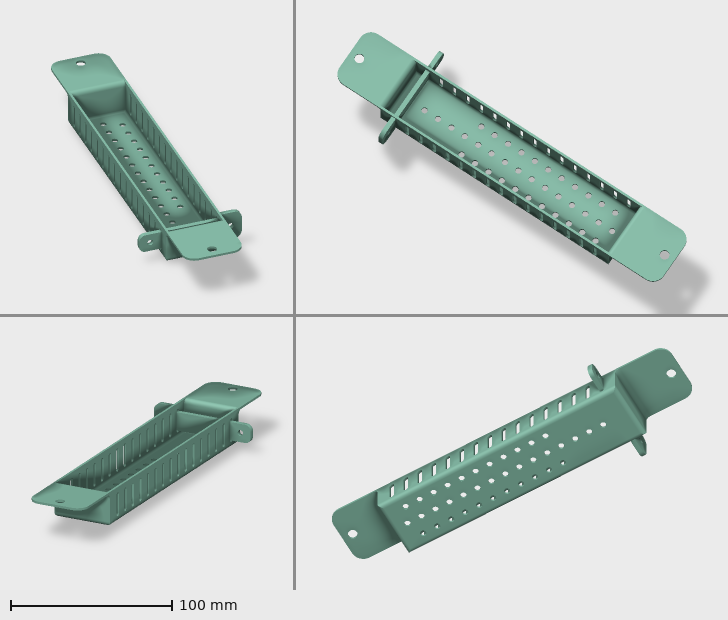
import cadquery as cq

LENGTH = 242.0
WIDTH = 39.0
HEIGHT = 23.0
BOX_LENGTH = 170.0
SHEET = 1.5
BEND_RADIUS = 2 * SHEET
INNER_BEND_RADIUS = SHEET

FLANGE_CORNER_RADIUS = 8.0
FLANGE_HOLE_DIAMETER = 6.0
FLANGE_HOLE_INSET = 7.0

SLOT_COUNT = 16
SLOT_SPAN = 150.0
SLOT_ROW_SHIFT = 0.2
SLOT_PITCH = SLOT_SPAN / (SLOT_COUNT - 1)
SLOT_WIDTH = 2 * SHEET
SLOT_HEIGHT = 15.5

FLOOR_HOLE_DIAMETER = 3.9
MIDDLE_ROW_COUNT = 15
SIDE_ROW_COUNT = 11
SIDE_ROW_OFFSET = 11.0

PLATE_LENGTH = 68.0
PLATE_HEIGHT = 12.0
PLATE_CORNER_RADIUS = 4.0
HEAD_HEIGHT = 19.5
HEAD_CORNER_RADIUS = 5.0
PLATE_HOLE_DIAMETER = 3.9
PLATE_HOLE_INSET = 7.3

INNER_LENGTH = BOX_LENGTH - 2 * SHEET
INNER_WIDTH = WIDTH - 2 * SHEET
MID_HEIGHT = HEIGHT / 2
FIRST_SLOT_X = SLOT_ROW_SHIFT - SLOT_SPAN / 2
LAST_SLOT_X = SLOT_ROW_SHIFT + SLOT_SPAN / 2


def make_flange_plate():
    """Flat plate over the whole length, with rounded corners and an end hole each side."""
    hole_x = LENGTH / 2 - FLANGE_HOLE_INSET
    return (
        cq.Workplane("XY", origin=(0, 0, HEIGHT - SHEET))
        .rect(LENGTH, WIDTH)
        .extrude(SHEET)
        .edges("|Z")
        .fillet(FLANGE_CORNER_RADIUS)
        .faces(">Z")
        .workplane()
        .pushPoints([(-hole_x, 0), (hole_x, 0)])
        .hole(FLANGE_HOLE_DIAMETER)
    )


def make_box_block():
    """Solid block of the box, rounded along its four lower edges."""
    return (
        cq.Workplane("XY")
        .box(BOX_LENGTH, WIDTH, HEIGHT, centered=(True, True, False))
        .faces("<Z")
        .edges()
        .fillet(BEND_RADIUS)
    )


def round_flange_undersides(shell):
    """Round the inner corners where the end walls turn out into the flanges."""
    for x in (-BOX_LENGTH / 2, BOX_LENGTH / 2):
        corner = (x, 0, HEIGHT - SHEET)
        shell = shell.edges(cq.selectors.NearestToPointSelector(corner)).fillet(BEND_RADIUS)
    return shell


def make_pocket():
    """Space inside the box, rounded along the floor."""
    return (
        cq.Workplane("XY", origin=(0, 0, SHEET))
        .box(INNER_LENGTH, INNER_WIDTH, HEIGHT - SHEET, centered=(True, True, False))
        .faces("<Z")
        .edges()
        .fillet(INNER_BEND_RADIUS)
    )


def round_pocket_ends(shell):
    """Round the upper edges where the end walls turn out into the flanges."""
    for x in (-INNER_LENGTH / 2, INNER_LENGTH / 2):
        rim = (x, 0, HEIGHT)
        shell = shell.edges(cq.selectors.NearestToPointSelector(rim)).fillet(BEND_RADIUS)
    return shell


def make_wall_slots():
    """Round-ended slots running across both long walls."""
    points = [(FIRST_SLOT_X + i * SLOT_PITCH, MID_HEIGHT) for i in range(SLOT_COUNT)]
    return (
        cq.Workplane("XZ")
        .pushPoints(points)
        .slot2D(SLOT_HEIGHT, SLOT_WIDTH, 90)
        .extrude(WIDTH, both=True)
    )


def make_floor_holes():
    """Drain holes in the floor; the side rows are shifted by half a pitch."""
    points = [(FIRST_SLOT_X + i * SLOT_PITCH, 0) for i in range(MIDDLE_ROW_COUNT)]
    for y in (-SIDE_ROW_OFFSET, SIDE_ROW_OFFSET):
        for i in range(SIDE_ROW_COUNT):
            points.append((FIRST_SLOT_X + (i + 0.5) * SLOT_PITCH, y))
    return cq.Workplane("XY").pushPoints(points).circle(FLOOR_HOLE_DIAMETER / 2).extrude(MID_HEIGHT)


def make_tray():
    shell = make_flange_plate().union(make_box_block())
    shell = round_flange_undersides(shell)
    shell = shell.cut(make_pocket())
    shell = round_pocket_ends(shell)
    return shell.cut(make_wall_slots()).cut(make_floor_holes())


def make_cross_plate():
    """Flat plate in the YZ plane; the head rests on the outside of the +Y wall."""
    half_length = PLATE_LENGTH / 2
    head_length = half_length - WIDTH / 2
    section = cq.Workplane("YZ", origin=(LAST_SLOT_X - SLOT_WIDTH / 2, 0, MID_HEIGHT))

    bar_length = PLATE_LENGTH - head_length
    bar = (
        section.center(-head_length / 2, 0)
        .rect(bar_length, PLATE_HEIGHT)
        .extrude(SLOT_WIDTH)
        .edges("|X and <Y")
        .fillet(PLATE_CORNER_RADIUS)
    )
    head = (
        section.center(half_length - head_length / 2, 0)
        .rect(head_length, HEAD_HEIGHT)
        .extrude(SLOT_WIDTH)
        .edges("|X and >Y")
        .fillet(HEAD_CORNER_RADIUS)
    )
    hole_y = half_length - PLATE_HOLE_INSET
    holes = (
        section.pushPoints([(-hole_y, 0), (hole_y, 0)])
        .circle(PLATE_HOLE_DIAMETER / 2)
        .extrude(SLOT_WIDTH)
    )
    return bar.union(head).cut(holes)


tray = make_tray()
cross_plate = make_cross_plate()

result = cq.Compound.makeCompound([tray.val(), cross_plate.val()])